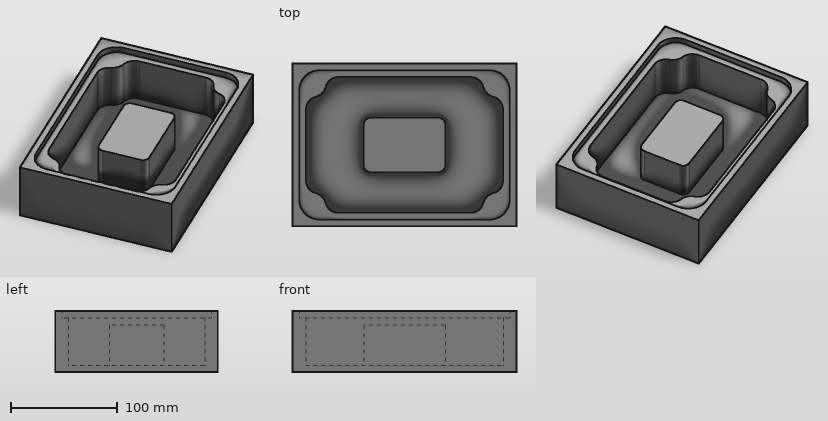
import cadquery as cq
import math

length = 209.5
width = 152.3
height = 57.2
wall = 6.3

recess_depth = 6.3
recess_radius = 19.0

cavity_half_x = length / 2 - 2 * wall
cavity_half_y = width / 2 - 2 * wall
cavity_depth = height - recess_depth - wall
post_radius = 12.5
post_inset = 6.3
blend_radius = 12.5

island_length = 76.3
island_width = 50.7
island_height = 38.1
island_radius = 6.3


def rounded_block(size_x, size_y, size_z, radius, base_z):
    block = cq.Workplane("XY").workplane(offset=base_z).rect(size_x, size_y).extrude(size_z)
    return block.edges("|Z").fillet(radius)


def corner_post():
    """Material filling the +X +Y cavity corner: a post blended tangentially into both walls."""
    axis_distance = post_radius + blend_radius
    angle = math.asin((blend_radius - post_inset) / axis_distance)
    blend_x = post_inset + axis_distance * math.cos(angle)
    bisector = math.pi + (math.pi / 2 + angle) / 2

    wall_end = (blend_x, 0)
    blend_middle = (
        blend_x + blend_radius * math.cos(bisector),
        blend_radius * (1 + math.sin(bisector)),
    )
    tangent = (
        post_inset + post_radius * math.cos(angle),
        post_inset + post_radius * math.sin(angle),
    )
    post_middle = post_inset + post_radius * math.cos(math.pi / 4)

    def place(point):
        return cavity_half_x - point[0], cavity_half_y - point[1]

    def mirrored(point):
        return place((point[1], point[0]))

    return (
        cq.Workplane("XY")
        .workplane(offset=wall)
        .moveTo(*place((0, 0)))
        .lineTo(*place(wall_end))
        .threePointArc(place(blend_middle), place(tangent))
        .threePointArc(place((post_middle, post_middle)), mirrored(tangent))
        .threePointArc(mirrored(blend_middle), mirrored(wall_end))
        .close()
        .extrude(cavity_depth)
    )


def cavity_cutter():
    cavity = (
        cq.Workplane("XY")
        .workplane(offset=wall)
        .rect(2 * cavity_half_x, 2 * cavity_half_y)
        .extrude(cavity_depth)
    )
    post = corner_post()
    for corner in (post, post.mirror("YZ"), post.mirror("XZ"), post.mirror("YZ").mirror("XZ")):
        cavity = cavity.cut(corner)
    return cavity


block = cq.Workplane("XY").box(length, width, height, centered=(True, True, False))
recess = rounded_block(
    length - 2 * wall, width - 2 * wall, recess_depth, recess_radius, height - recess_depth
)
island = rounded_block(island_length, island_width, island_height, island_radius, wall)

result = block.cut(recess).cut(cavity_cutter()).union(island)